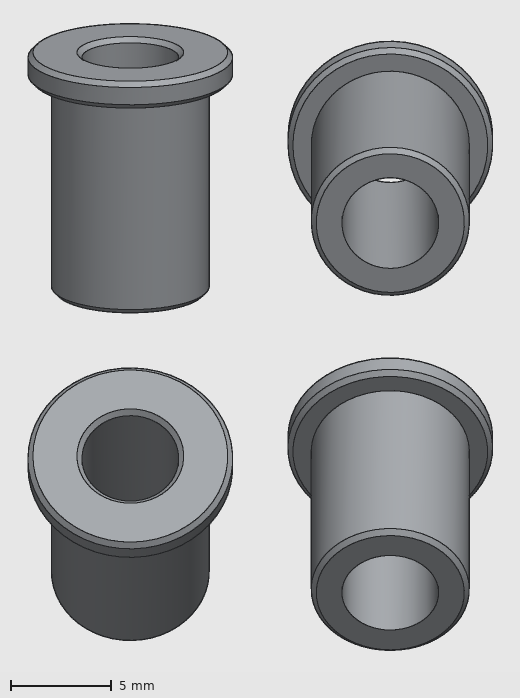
import cadquery as cq

flange_diameter = 10.17
flange_thickness = 1.4
body_diameter = 7.85
body_length = 11.0
bore_diameter = 4.8
edge_chamfer = 0.25

total_length = body_length + flange_thickness


def chamfered_cylinder(diameter, length, base_z, chamfered_edges):
    """Cylinder along Z, standing on base_z, with the selected rims chamfered."""
    cylinder = cq.Workplane("XY").workplane(offset=base_z).circle(diameter / 2).extrude(length)
    return cylinder.edges(chamfered_edges).chamfer(edge_chamfer)


def bore_cutter():
    """Through bore that widens into a 45 degree lead-in at the flange face."""
    bore = cq.Workplane("XY").circle(bore_diameter / 2).extrude(total_length)
    lead_in = (
        cq.Workplane("XY")
        .workplane(offset=total_length)
        .circle(bore_diameter / 2 + edge_chamfer)
        .workplane(offset=-edge_chamfer)
        .circle(bore_diameter / 2)
        .loft(combine=True)
    )
    return bore.union(lead_in)


body = chamfered_cylinder(body_diameter, body_length, 0, "<Z")

flange = chamfered_cylinder(flange_diameter, flange_thickness, body_length, "%CIRCLE")

result = body.union(flange).cut(bore_cutter())